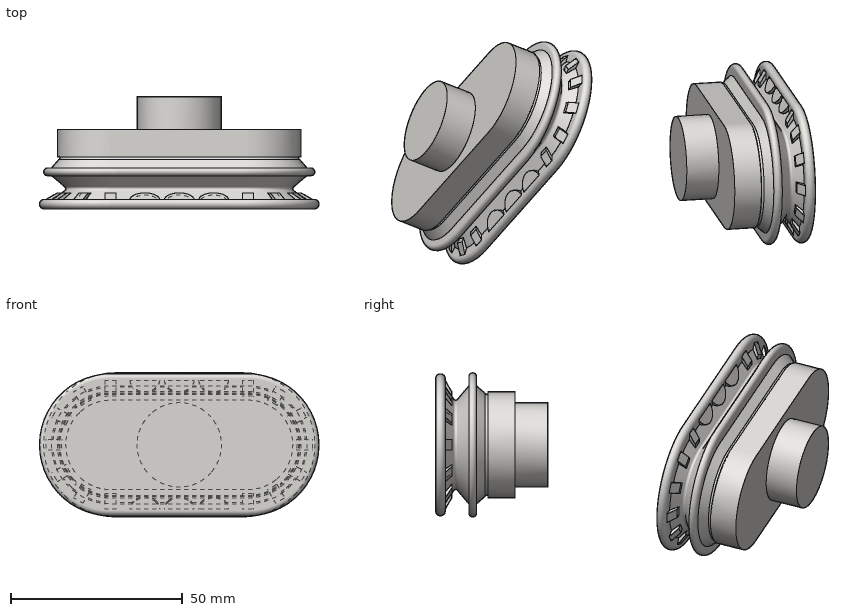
import cadquery as cq
import math

total_length = 81.3
total_depth = 32.7
straight_length = 40.0

front_lip_radius = (total_length - straight_length) / 2
front_lip_thickness = 2.85

middle_lip_radius = 21.0
middle_lip_straight = 36.9
middle_lip_front = 9.7
middle_lip_thickness = 2.3

front_cone_radius = 16.75
waist_radius = 13.0
waist_front = 5.3
waist_back = 6.5
waist_edge_radius = 13.4
ridge_radius = 17.15
neck_radius = 14.7
neck_front = 14.4
neck_edge_radius = 15.05
neck_bottom_radius = 14.8

body_radius = 15.45
body_front = 15.2
body_back = 23.2
spigot_diameter = 24.55

pad_width = 3.1
pad_step_angle = 30
pads_per_end = 7
pad_back = 4.7
pad_back_radius = 15.45
pad_slope_angle = 60
pad_floor_radius = 11.4
pad_bury_depth = 0.4
pad_front = front_lip_thickness - pad_bury_depth
knob_diameter = 8.8
knob_spacing = 10.0
knob_count = 3


def racetrack(half_section, straight):
    """Sweep a half section, drawn from the Y axis out along +X, around a racetrack in XZ."""
    round_end = half_section().revolve(360, (0, 0, 0), (0, 1, 0))
    half_bar = half_section().extrude(straight / 2, both=True).rotate((0, 0, 0), (0, 1, 0), 90)
    bar = half_bar.union(half_bar.mirror("XY"))
    left_end = round_end.translate((-straight / 2, 0, 0))
    right_end = round_end.translate((straight / 2, 0, 0))
    return bar.union(left_end).union(right_end)


def rounded_lip(radius, front, thickness):
    """Half section of a plate with a fully rounded rim."""
    round_start = radius - thickness / 2
    back = front + thickness
    return (
        cq.Workplane("XY")
        .moveTo(0, front)
        .lineTo(round_start, front)
        .threePointArc((radius, front + thickness / 2), (round_start, back))
        .lineTo(0, back)
        .close()
    )


def front_lip_section():
    return rounded_lip(front_lip_radius, 0, front_lip_thickness)


def middle_lip_section():
    return rounded_lip(middle_lip_radius, middle_lip_front, middle_lip_thickness)


def bellows_and_body_section():
    """Cones, the two rounded grooves and the plain body behind them."""
    middle_lip_back = middle_lip_front + middle_lip_thickness
    waist_middle = (waist_front + waist_back) / 2
    neck_middle = (neck_front + body_front) / 2
    return (
        cq.Workplane("XY")
        .moveTo(0, front_lip_thickness / 2)
        .lineTo(front_cone_radius, front_lip_thickness / 2)
        .lineTo(front_cone_radius, front_lip_thickness)
        .lineTo(waist_edge_radius, waist_front)
        .threePointArc((waist_radius, waist_middle), (waist_edge_radius, waist_back))
        .lineTo(ridge_radius, middle_lip_front)
        .lineTo(ridge_radius, middle_lip_back)
        .lineTo(neck_edge_radius, neck_front)
        .threePointArc((neck_radius, neck_middle), (neck_bottom_radius, body_front))
        .lineTo(body_radius, body_front)
        .lineTo(body_radius, body_back)
        .lineTo(0, body_back)
        .close()
    )


def sloped_block(width):
    """Block pointing along +X whose outer face slopes outward toward the front lip."""
    front_radius = pad_back_radius + (pad_back - pad_front) * math.tan(math.radians(pad_slope_angle))
    return (
        cq.Workplane("XY")
        .moveTo(pad_floor_radius, pad_front)
        .lineTo(front_radius, pad_front)
        .lineTo(pad_back_radius, pad_back)
        .lineTo(pad_floor_radius, pad_back)
        .close()
        .extrude(width / 2, both=True)
    )


def knob():
    """Round knob pointing along +X, square to the sloped face and cut off inside the front lip."""
    slope = math.radians(pad_slope_angle)
    knob_radius = knob_diameter / 2
    centre_radius = pad_back_radius + knob_radius * math.sin(slope)
    centre_y = pad_back - knob_radius * math.cos(slope)
    face = cq.Plane(
        origin=(centre_radius, centre_y, 0),
        xDir=(0, 0, 1),
        normal=(math.cos(slope), math.sin(slope), 0),
    )
    cylinder = cq.Workplane(face).circle(knob_radius).extrude(knob_diameter, both=True)
    return sloped_block(knob_diameter).intersect(cylinder)


def turn_about_y(shape, angle):
    return shape.rotate((0, 0, 0), (0, 1, 0), angle)


result = racetrack(bellows_and_body_section, straight_length)
result = result.union(racetrack(front_lip_section, straight_length))
result = result.union(racetrack(middle_lip_section, middle_lip_straight))

spigot_length = total_depth - body_back
spigot = (
    cq.Workplane("XZ", origin=(0, body_back, 0))
    .circle(spigot_diameter / 2)
    .extrude(-spigot_length)
)
result = result.union(spigot)

for end_x, end_angle in ((straight_length / 2, 0), (-straight_length / 2, 180)):
    for index in range(pads_per_end):
        fan_angle = (index - (pads_per_end - 1) / 2) * pad_step_angle
        pad = turn_about_y(sloped_block(pad_width), end_angle + fan_angle)
        result = result.union(pad.translate((end_x, 0, 0)))

for flank_angle in (-90, 90):
    for index in range(knob_count):
        knob_x = (index - (knob_count - 1) / 2) * knob_spacing
        result = result.union(turn_about_y(knob(), flank_angle).translate((knob_x, 0, 0)))